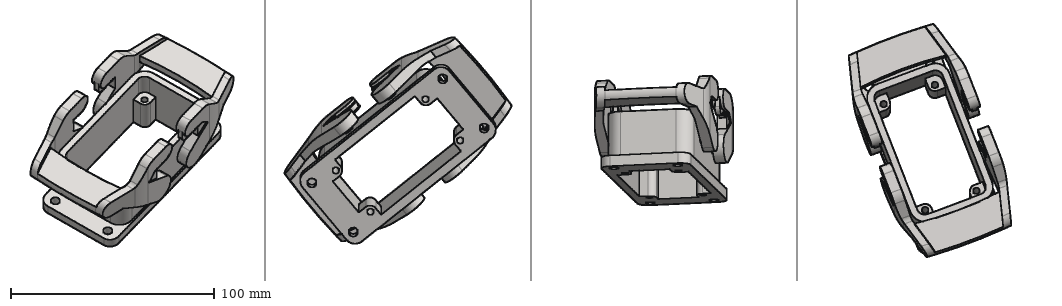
import cadquery as cq
import math

flange_width = 44.8
flange_length = 93.1
flange_thickness = 5.4
flange_corner_radius = 5.3
mount_hole_diameter = 4.5
mount_hole_spacing_x = 32.1
mount_hole_spacing_y = 83.1

housing_width = 42.9
housing_length = 73.3
housing_top = 29.5
housing_corner_radius = 7.5
wall = 3.5
opening_width = housing_width - 2 * wall
opening_length = housing_length - 2 * wall
opening_corner_radius = housing_corner_radius - wall

post_size = 7.8
post_top = 17.4
post_round = 3.5
post_hole_diameter = 3.2
post_hole_spacing_x = 26.9
post_hole_spacing_y = 56.9

overall_width = 57.0
arm_outer_x = overall_width / 2
arm_thickness = 5.5
arm_inner_x = arm_outer_x - arm_thickness
bend_angle = 15
bend_slope = math.tan(math.radians(bend_angle))
outer_bend_y = 30.1
outer_bend_radius = 35.8
inner_bend_y = 34.7
inner_bend_radius = 14.3
plan_end_y = 60.5

pivot_y = 13.6
pivot_z = 19.7
pivot_radius = 7.3
pin_diameter = 5.1
hook_top = 48.8
hook_height = 10.0
hook_radius = hook_height / 2
hook_nose_y = 5.3
hook_bottom = hook_top - hook_height
web_y = 17.0
hump_y = 23.4
hump_radius = 8.2
tail_start_y = 33.9
tail_start_radius = 4.2
tail_radius = 5.2
tail_straight_end_y = 47.3
tail_center_z = 34.3
tail_under_y = 41.4

recess_depth = 0.8
recess_tip_y = 24.1
recess_tip_z = 34.5
recess_corner_y = 19.8
recess_corner_radius = 3.0

lip_thickness = 2.6
lip_offset = 1.3
lip_inner_x = arm_inner_x + lip_offset
lip_bottom = 35.7
lip_nose_radius = 3.3
notch_radius = 2.1
notch_edge_radius = 0.7

lever_end_y = 55.0
lever_end_radius = 274.8
lever_end_depth = 18.1
lever_end_sweep = 20
handle_thickness = 4.8
handle_inner_y = 38.0
handle_inner_radius = 208.8


def tangent_point(y, z, side):
    """Point where a line from (y, z) touches the pivot circle; side +1 or -1 picks which of the two."""
    dy = y - pivot_y
    dz = z - pivot_z
    angle = math.atan2(dz, dy) + side * math.acos(pivot_radius / math.hypot(dy, dz))
    return (pivot_y + pivot_radius * math.cos(angle), pivot_z + pivot_radius * math.sin(angle))


def ramp_height(y):
    """Height of the straight edge between the recess tip and the pivot eye."""
    end_y, end_z = tangent_point(recess_tip_y, recess_tip_z, 1)
    slope = (recess_tip_z - end_z) / (recess_tip_y - end_y)
    return recess_tip_z + slope * (y - recess_tip_y)


def rounded_block(width, length, height, radius):
    return cq.Workplane("XY").rect(width, length).extrude(height).edges("|Z").fillet(radius)


def fillet_at(body, point, radius):
    """Round the straight edge nearest to a point."""
    return body.edges(cq.selectors.NearestToPointSelector(point)).fillet(radius)


def in_four_corners(body):
    half = body.union(body.mirror("YZ"))
    return half.union(half.mirror("XZ"))


def make_post():
    """Screw post in the +X +Y corner, reaching half-way into the walls."""
    size = post_size + wall / 2
    post = cq.Workplane("XY").box(size, size, post_top, centered=False)
    post = post.edges("|Z and <X and <Y").fillet(post_round)
    return post.translate((opening_width / 2 - post_size, opening_length / 2 - post_size, 0))


def drill_four(body, spacing_x, spacing_y, diameter):
    """Through holes at the corners of a centred rectangle."""
    centers = cq.Workplane("XY").rect(spacing_x, spacing_y, forConstruction=True).vertices()
    return body.cut(centers.circle(diameter / 2).extrude(housing_top))


def make_housing():
    flange = rounded_block(flange_width, flange_length, flange_thickness, flange_corner_radius)
    outer = rounded_block(housing_width, housing_length, housing_top, housing_corner_radius)
    opening = rounded_block(opening_width, opening_length, housing_top, opening_corner_radius)
    posts = in_four_corners(make_post()).intersect(outer)
    body = flange.union(outer).cut(opening).union(posts)
    body = drill_four(body, mount_hole_spacing_x, mount_hole_spacing_y, mount_hole_diameter)
    return drill_four(body, post_hole_spacing_x, post_hole_spacing_y, post_hole_diameter)


def make_arm_plan():
    """Bent strip that fixes the thickness and course of the arm, seen from above."""
    strip = (
        cq.Workplane("XY")
        .moveTo(arm_inner_x, 0)
        .lineTo(arm_outer_x, 0)
        .lineTo(arm_outer_x, outer_bend_y)
        .lineTo(arm_outer_x - bend_slope * (plan_end_y - outer_bend_y), plan_end_y)
        .lineTo(arm_inner_x - bend_slope * (plan_end_y - inner_bend_y), plan_end_y)
        .lineTo(arm_inner_x, inner_bend_y)
        .close().extrude(hook_top)
    )
    middle_z = hook_top / 2
    strip = fillet_at(strip, (arm_outer_x, outer_bend_y, middle_z), outer_bend_radius)
    return fillet_at(strip, (arm_inner_x, inner_bend_y, middle_z), inner_bend_radius)


def make_arm_profile():
    """Side outline of the arm: hook, hump, pivot eye and the straight part of the tail."""
    ramp_end = tangent_point(recess_tip_y, recess_tip_z, 1)
    lower_end = tangent_point(tail_under_y, tail_center_z - tail_radius, -1)
    hook_center_y = hook_nose_y + hook_radius
    pivot_end = (pivot_y - pivot_radius, pivot_z)
    profile = (
        cq.Workplane("YZ")
        .moveTo(hook_center_y, hook_top)
        .lineTo(hump_y, hook_top)
        .lineTo(tail_start_y, tail_center_z + tail_radius)
        .lineTo(tail_straight_end_y, tail_center_z + tail_radius)
        .lineTo(tail_straight_end_y, tail_center_z - tail_radius)
        .lineTo(tail_under_y, tail_center_z - tail_radius)
        .lineTo(*lower_end)
        .threePointArc(pivot_end, ramp_end)
        .lineTo(web_y, ramp_height(web_y))
        .lineTo(web_y, hook_bottom)
        .lineTo(hook_center_y, hook_bottom)
        .threePointArc((hook_nose_y, hook_top - hook_radius), (hook_center_y, hook_top))
        .close().extrude(arm_outer_x)
    )
    middle_x = arm_outer_x / 2
    profile = fillet_at(profile, (middle_x, hump_y, hook_top), hump_radius)
    return fillet_at(profile, (middle_x, tail_start_y, tail_center_z + tail_radius), tail_start_radius)


def make_recess():
    recess = (
        cq.Workplane("YZ", origin=(arm_outer_x - recess_depth, 0, 0))
        .moveTo(web_y, hook_bottom)
        .lineTo(recess_corner_y, hook_bottom)
        .lineTo(recess_tip_y, recess_tip_z)
        .lineTo(web_y, ramp_height(web_y))
        .close().extrude(recess_depth)
    )
    corner = (arm_outer_x - recess_depth / 2, recess_corner_y, hook_bottom)
    return fillet_at(recess, corner, recess_corner_radius)


def make_lip():
    """Thin tongue under the hook with a round notch above the pivot."""
    lip_top = hook_top - hook_radius
    middle_x = lip_inner_x + lip_thickness / 2
    lip = (
        cq.Workplane("YZ", origin=(lip_inner_x, 0, 0))
        .moveTo(hook_nose_y, lip_bottom)
        .lineTo(pivot_y - notch_radius, lip_bottom)
        .threePointArc((pivot_y, lip_bottom + notch_radius), (pivot_y + notch_radius, lip_bottom))
        .lineTo(web_y, lip_bottom)
        .lineTo(web_y, lip_top)
        .lineTo(hook_nose_y, lip_top)
        .close().extrude(lip_thickness)
    )
    lip = fillet_at(lip, (middle_x, hook_nose_y, lip_bottom), lip_nose_radius)
    return fillet_at(lip, (middle_x, pivot_y - notch_radius, lip_bottom), notch_edge_radius)


def make_pin():
    pin_start = housing_width / 2 - wall / 2
    pin_end = arm_inner_x + arm_thickness / 2
    return (
        cq.Workplane("YZ", origin=(pin_start, pivot_y, pivot_z))
        .circle(pin_diameter / 2).extrude(pin_end - pin_start)
    )


def make_lever_end(height):
    """Curved band of the given height, cut from a ring whose outer edge is rounded to the tail radius."""
    half = height / 2
    nose_setback = tail_radius - math.sqrt(tail_radius ** 2 - half ** 2)
    edge_radius = lever_end_radius - nose_setback
    inner_radius = lever_end_radius - lever_end_depth
    return (
        cq.Workplane("XZ")
        .moveTo(inner_radius, -half)
        .lineTo(edge_radius, -half)
        .threePointArc((lever_end_radius, 0), (edge_radius, half))
        .lineTo(inner_radius, half)
        .close().revolve(lever_end_sweep, (0, 0, 0), (0, 1, 0))
        .rotate((0, 0, 0), (0, 0, 1), 90 - lever_end_sweep / 2)
        .translate((0, lever_end_y - lever_end_radius, tail_center_z))
    )


def make_arm():
    plan = make_arm_plan()
    arm = plan.intersect(make_arm_profile()).union(plan.intersect(make_lever_end(2 * tail_radius)))
    return arm.cut(make_recess()).union(make_lip()).union(make_pin())


def make_handle():
    """Flat bar between the arms, flush with their outer faces and with their rounded ends."""
    side_end_x = arm_outer_x - bend_slope * (plan_end_y - outer_bend_y)
    corner_y = handle_inner_y - arm_outer_x ** 2 / (2 * handle_inner_radius)
    corner_x = arm_outer_x - bend_slope * (corner_y - outer_bend_y)
    outline = (
        cq.Workplane("XY")
        .moveTo(-corner_x, corner_y)
        .threePointArc((0, handle_inner_y), (corner_x, corner_y))
        .lineTo(side_end_x, plan_end_y)
        .lineTo(-side_end_x, plan_end_y)
        .close().extrude(hook_top)
    )
    return make_lever_end(handle_thickness).intersect(outline)


handle = make_handle()
result = make_housing().union(in_four_corners(make_arm())).union(handle).union(handle.mirror("XZ"))